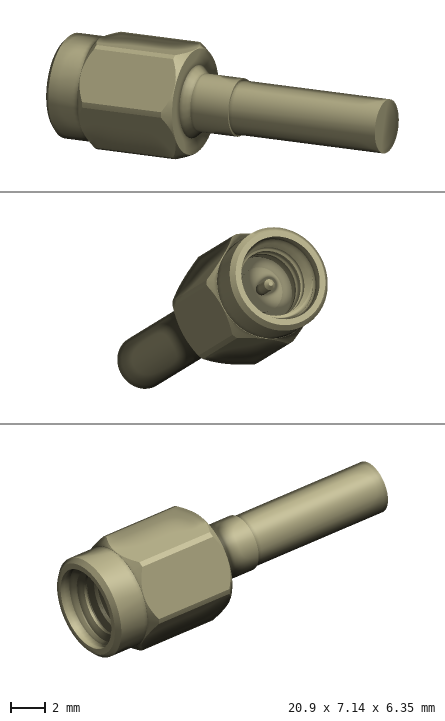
import cadquery as cq
import math

total_length = 20.88
hex_start = 2.17
hex_end = 8.37
taper_end = 8.87
sleeve_end = 11.34
socket_depth = 3.0

collar_radius = 3.13
collar_chamfer = 0.27
hex_across_flats = 6.35
hex_corner_radius = 3.57
hex_chamfer_length = 0.52
hex_chamfer_radius = 3.15

thread_minor_radius = 2.0
thread_major_radius = 2.4
thread_pitch = 0.7
thread_crest_width = 0.13
thread_root_width = 0.08
thread_start = -0.5
thread_end = socket_depth + thread_pitch / 2
thread_overcut = 0.05
tube_radius = 4.18
mouth_radius = 2.5
mouth_depth = 0.65
mouth_cone_end = mouth_depth + mouth_radius - thread_minor_radius

taper_radius = 2.17
sleeve_radius = 1.73
cable_radius = 1.6
insulator_radius = 1.35
insulator_height = 0.06
pin_radius = 0.33
pin_tip_radius = 0.13
pin_tip = 1.46
pin_point_length = pin_radius - pin_tip_radius


def revolve_about_x(profile):
    """Revolve a closed (x, radius) profile about the X axis."""
    return cq.Workplane("XY").polyline(profile).close().revolve(360, (0, 0, 0), (1, 0, 0))


def make_hexagon():
    """Hexagonal grip with trimmed corners and conical chamfers at both ends."""
    across_corners = hex_across_flats / math.cos(math.radians(30))
    prism = (
        cq.Workplane("YZ", origin=(hex_start, 0, 0))
        .polygon(6, across_corners)
        .extrude(hex_end - hex_start)
    )
    envelope = revolve_about_x([
        (hex_start, 0),
        (hex_start, hex_chamfer_radius),
        (hex_start + hex_chamfer_length, hex_corner_radius),
        (hex_end - hex_chamfer_length, hex_corner_radius),
        (hex_end, hex_chamfer_radius),
        (hex_end, 0),
    ])
    return prism.intersect(envelope)


def make_collar():
    """Round front collar with a chamfered rim."""
    return revolve_about_x([
        (0, 0),
        (0, collar_radius - collar_chamfer),
        (collar_chamfer, collar_radius),
        (hex_start, collar_radius),
        (hex_start, 0),
    ])


def make_mouth():
    """Plain counterbore at the open front, ending in a 45 degree cone."""
    return revolve_about_x([
        (0, 0),
        (0, mouth_radius),
        (mouth_depth, mouth_radius),
        (mouth_cone_end, thread_minor_radius),
        (mouth_cone_end, 0),
    ])


def make_thread_groove():
    """Helical V groove, running out through the mouth and ending just behind the core face."""
    inner_radius = thread_minor_radius - thread_overcut
    half_crest_gap = (thread_pitch - thread_crest_width) / 2
    half_root = thread_root_width / 2
    length = thread_end - thread_start
    helix = cq.Wire.makeHelix(thread_pitch, length, inner_radius)
    groove = (
        cq.Workplane("XZ")
        .polyline([
            (inner_radius, -half_crest_gap),
            (thread_major_radius, -half_root),
            (thread_major_radius, half_root),
            (inner_radius, half_crest_gap),
        ])
        .close()
        .sweep(cq.Workplane(obj=helix), isFrenet=True)
    )
    return groove.rotate((0, 0, 0), (0, 1, 0), 90).translate((thread_start, 0, 0))


def make_threaded_tube():
    """Oversize tube with the threaded bore, reaching ahead of the nut so the thread runs out."""
    tube_start = thread_start - thread_pitch
    tube = (
        cq.Workplane("YZ", origin=(tube_start, 0, 0))
        .circle(tube_radius)
        .circle(thread_minor_radius)
        .extrude(hex_end - tube_start)
    )
    return tube.cut(make_thread_groove())


def make_nut():
    """Hexagonal coupling nut with a round collar, a counterbored mouth and an internal thread."""
    blank = make_collar().union(make_hexagon())
    return blank.intersect(make_threaded_tube()).cut(make_mouth()).solids()


def make_core():
    """Contact pin, insulator, body, crimp sleeve and cable as one turned shape."""
    insulator_face = socket_depth - insulator_height
    return revolve_about_x([
        (pin_tip, 0),
        (pin_tip, pin_tip_radius),
        (pin_tip + pin_point_length, pin_radius),
        (insulator_face, pin_radius),
        (insulator_face, insulator_radius),
        (socket_depth, insulator_radius),
        (socket_depth, thread_minor_radius),
        (hex_end, thread_minor_radius),
        (hex_end, taper_radius),
        (taper_end, sleeve_radius),
        (sleeve_end, sleeve_radius),
        (sleeve_end, cable_radius),
        (total_length, cable_radius),
        (total_length, 0),
    ])


nut = make_nut()
core = make_core()
result = cq.Compound.makeCompound([nut.val(), core.val()])